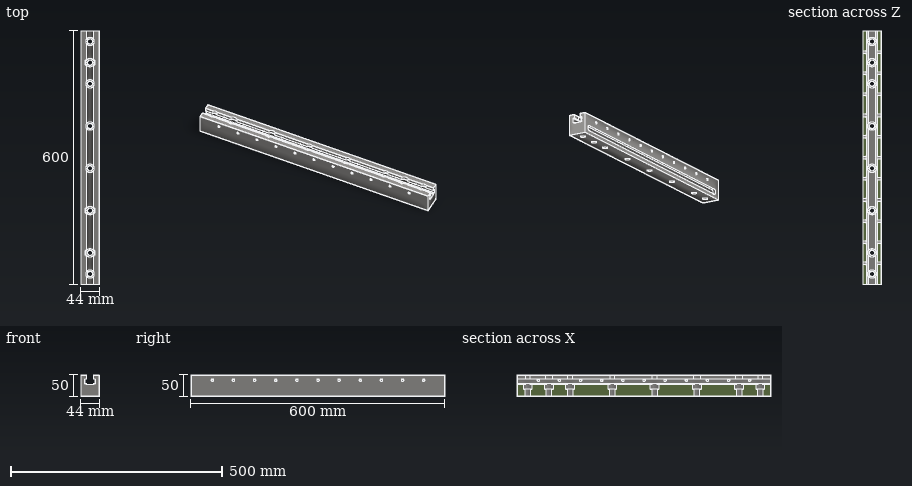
import cadquery as cq

length = 600.0
width = 44.0
height = 50.0
edge_chamfer = 0.5

mouth_width = 16.0
lip_height = 9.0
cavity_width = 24.0
cavity_height = 11.0
channel_depth = 21.5

bolt_diameter = 12.0
counterbore_diameter = 20.0
counterbore_depth = 33.0
bolt_pitch = length / 6
end_distance = bolt_pitch / 4
regular_bolt_count = 6
second_bolt_distance = end_distance + bolt_pitch / 2
last_bolt_distance = length - end_distance

access_diameter = 23.0

cross_diameter = 4.9
cross_count = 11
cross_pitch = length / 12
cross_depth = 12.0

groove_height = 12.5
groove_depth = 7.0
groove_end_margin = 13.0
groove_center_z = 15.5


def make_bar():
    return cq.Workplane("XY").box(width, length, height, centered=(True, True, False))


def make_t_slot():
    mouth_and_channel = (
        cq.Workplane("XY", origin=(0, 0, height))
        .rect(mouth_width, length)
        .extrude(-channel_depth)
    )
    cavity = (
        cq.Workplane("XY", origin=(0, 0, height - lip_height))
        .rect(cavity_width, length)
        .extrude(-cavity_height)
    )
    return mouth_and_channel.union(cavity)


def make_bores_from_top(distances, diameter, depth):
    """Vertical cylinders on the centreline, at distances from the +Y end."""
    points = [(0, length / 2 - distance) for distance in distances]
    return (
        cq.Workplane("XY", origin=(0, 0, height))
        .pushPoints(points)
        .circle(diameter / 2)
        .extrude(-depth)
    )


def make_bolt_holes():
    regular_distances = [end_distance + i * bolt_pitch for i in range(regular_bolt_count)]
    distances = regular_distances + [second_bolt_distance, last_bolt_distance]
    access_distances = [second_bolt_distance] + regular_distances[-2:]

    shafts = make_bores_from_top(distances, bolt_diameter, height)
    counterbores = make_bores_from_top(distances, counterbore_diameter, counterbore_depth)
    access_openings = make_bores_from_top(access_distances, access_diameter, lip_height)
    return shafts.union(counterbores).union(access_openings)


def make_cross_holes():
    return (
        cq.Workplane("YZ", origin=(-width / 2, 0, height - cross_depth))
        .rarray(cross_pitch, 6, cross_count, 1)
        .circle(cross_diameter / 2)
        .extrude(width)
    )


def make_side_groove():
    return (
        cq.Workplane("YZ", origin=(-width / 2, 0, groove_center_z))
        .slot2D(length - 2 * groove_end_margin, groove_height)
        .extrude(groove_depth)
    )


slotted_bar = make_bar().cut(make_t_slot())
slotted_bar = slotted_bar.faces(">Z").edges("|Y").chamfer(edge_chamfer)

result = slotted_bar.cut(make_bolt_holes()).cut(make_cross_holes()).cut(make_side_groove())